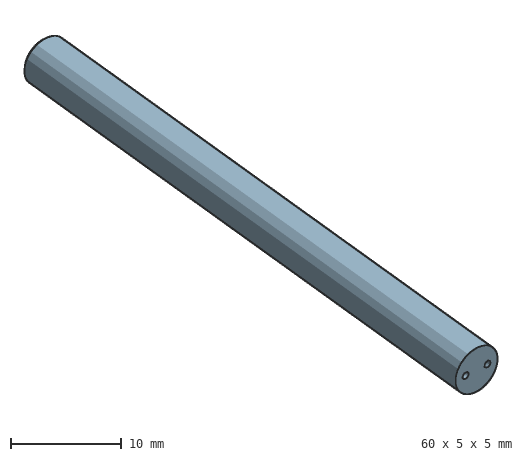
import cadquery as cq
import math

rod_length = 60.0
rod_diameter = 5.0
edge_chamfer = 0.25

hole_diameter = 0.7
hole_circle_diameter = 2.6
helix_angle = 30.0
helix_lead = math.pi * rod_diameter / math.tan(math.radians(helix_angle))

end_x = rod_length / 2
hole_offset = hole_circle_diameter / 2


def make_rod():
    """Plain rod with only its -X end chamfered."""
    rod = cq.Workplane("YZ", origin=(-end_x, 0, 0)).circle(rod_diameter / 2).extrude(rod_length)
    return rod.faces("<X").edges().chamfer(edge_chamfer)


def make_coolant_holes():
    """Cutter for both holes, which reach the +X end on the Y axis, one on each side."""
    twist = 360 * rod_length / helix_lead
    section = cq.Workplane("YZ", origin=(end_x, 0, 0))
    section = section.pushPoints([(-hole_offset, 0), (hole_offset, 0)]).circle(hole_diameter / 2)
    return section.twistExtrude(-rod_length, twist)


result = make_rod().cut(make_coolant_holes())